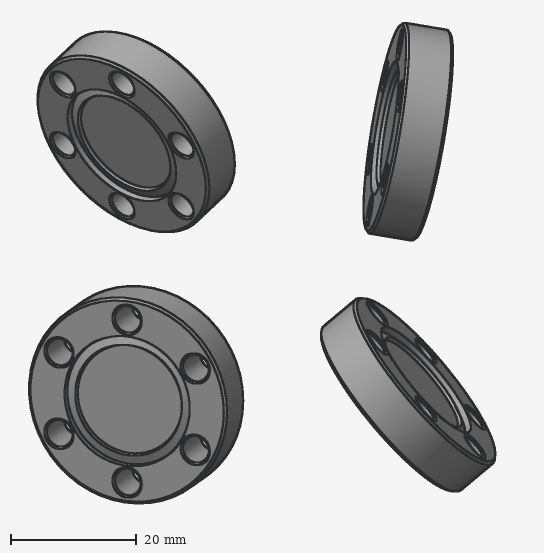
import cadquery as cq

flange_diameter = 34.0
flange_thickness = 7.6
rim_chamfer = 0.4

bolt_count = 6
bolt_circle_diameter = 27.0
bolt_hole_diameter = 4.42
bolt_hole_chamfer = 0.3

recess_diameter = 21.5
recess_depth = 1.2
knife_diameter = 18.3
knife_depth = 0.58
floor_diameter = 17.9
floor_depth = recess_depth

flange_radius = flange_diameter / 2
sealing_face_y = -flange_thickness / 2


def make_disc():
    """Round disc with both rims chamfered, centred on the origin."""
    disc = cq.Workplane("XZ", origin=(0, -sealing_face_y, 0)).circle(flange_radius).extrude(flange_thickness)
    return disc.edges("%CIRCLE").chamfer(rim_chamfer)


def make_recess():
    """Revolved cutter leaving a circular knife edge around a flat floor."""
    profile = (
        cq.Workplane("XY")
        .moveTo(0, sealing_face_y)
        .lineTo(recess_diameter / 2, sealing_face_y)
        .lineTo(recess_diameter / 2, sealing_face_y + recess_depth)
        .lineTo(knife_diameter / 2, sealing_face_y + knife_depth)
        .lineTo(floor_diameter / 2, sealing_face_y + floor_depth)
        .lineTo(0, sealing_face_y + floor_depth)
        .close()
    )
    return profile.revolve(360, (0, 0, 0), (0, 1, 0))


def drill_bolt_holes(body):
    """Through holes on the bolt circle, countersunk at the sealing face."""
    countersink_diameter = bolt_hole_diameter + 2 * bolt_hole_chamfer
    return (
        body.copyWorkplane(cq.Workplane("XZ", origin=(0, sealing_face_y, 0)))
        .polarArray(bolt_circle_diameter / 2, 90, 360, bolt_count)
        .cskHole(bolt_hole_diameter, countersink_diameter, 90)
    )


result = drill_bolt_holes(make_disc().cut(make_recess()))